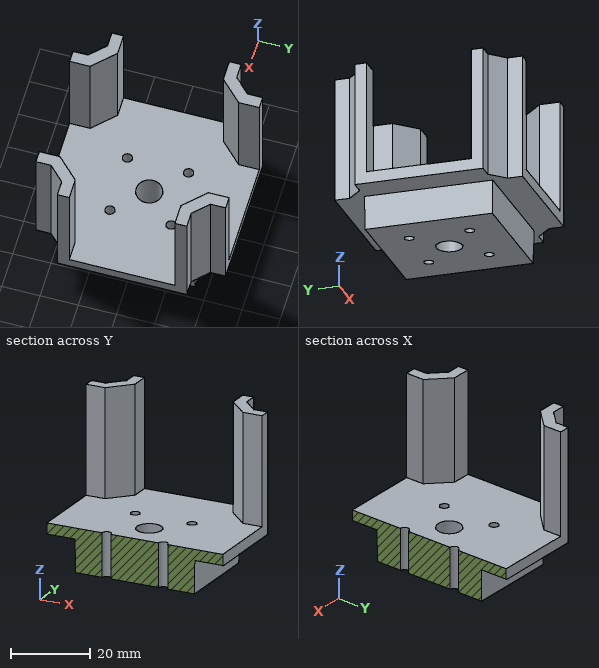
import cadquery as cq

width = 49.7
total_height = 42.0
wall = 3.15

base_height = 9.0
base_top_side = 33.9
base_bottom_side = 33.6

half_width = width / 2
notch_edge = 16.95
bevel_edge = 20.85

inner_edge = notch_edge - wall
inner_bevel_edge = 19.45

center_hole_diameter = 6.8
screw_hole_diameter = 2.5
screw_spacing = 16.0


def bevelled_cross(edge, bevel):
    """Outline reaching half_width on all sides, with a bevelled notch at each corner."""
    corner = [(half_width, edge), (bevel, edge), (edge, bevel), (edge, half_width)]
    points = []
    for _ in range(4):
        points += corner
        corner = [(-y, x) for x, y in corner]
    return cq.Workplane("XY").workplane(offset=base_height).polyline(points).close()


def make_tray():
    """Floor with four bent posts left standing at the corners."""
    body = bevelled_cross(notch_edge, bevel_edge).extrude(total_height - base_height)
    opening = bevelled_cross(inner_edge, inner_bevel_edge).extrude(total_height - base_height)
    return body.cut(opening.translate((0, 0, wall)))


def make_base():
    """Square block that widens slightly towards the floor."""
    return (
        cq.Workplane("XY")
        .rect(base_bottom_side, base_bottom_side)
        .workplane(offset=base_height)
        .rect(base_top_side, base_top_side)
        .loft(ruled=True)
    )


def make_holes():
    """Central hole and four screw holes, running the full height."""
    center = cq.Workplane("XY").circle(center_hole_diameter / 2).extrude(total_height)
    screws = (
        cq.Workplane("XY")
        .rect(screw_spacing, screw_spacing, forConstruction=True)
        .vertices()
        .circle(screw_hole_diameter / 2)
        .extrude(total_height)
    )
    return center.union(screws)


result = make_tray().union(make_base()).cut(make_holes())